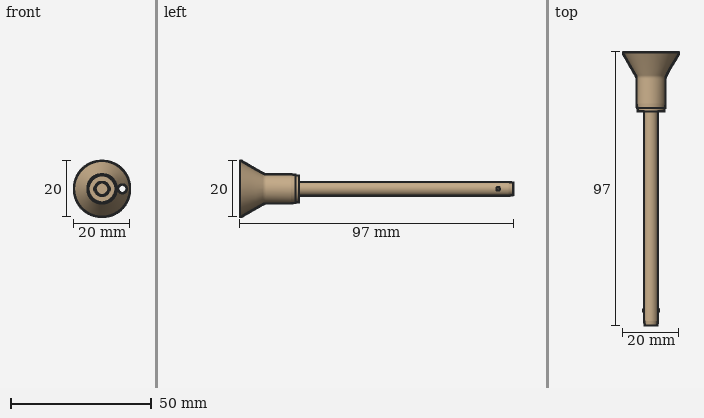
import cadquery as cq
import math


handle_length = 21.0
flange_radius = 10.0
rim_round_radius = 0.4
flare_angle = 30.0
flare_blend_radius = 2.2
grip_radius = 5.2
grip_end = 2.75
taper_end = 1.2
taper_end_radius = 5.05
collar_radius = 4.8

lanyard_hole_radius = 1.5
lanyard_hole_offset = 7.2

shank_length = 76.0
shank_radius = 2.5
tip_length = 1.6
tip_radius = 2.25

ball_radius = 0.75
ball_projection = 0.3
ball_to_tip = 5.4


def make_handle():
    """Revolved push button handle: flange, flare, grip, tapered end and collar."""
    angle = math.radians(flare_angle)
    half_angle = angle / 2

    rim_center_radius = flange_radius - rim_round_radius
    rim_center = handle_length - rim_round_radius
    flare_start_radius = rim_center_radius + rim_round_radius * math.cos(angle)
    flare_start = rim_center - rim_round_radius * math.sin(angle)

    flare_corner = flare_start - (flare_start_radius - grip_radius) / math.tan(angle)
    tangent_length = flare_blend_radius * math.tan(half_angle)

    blend_start_radius = grip_radius + tangent_length * math.sin(angle)
    blend_start = flare_corner + tangent_length * math.cos(angle)
    blend_end = flare_corner - tangent_length
    blend_middle_radius = grip_radius + flare_blend_radius * (1 - math.cos(half_angle))
    blend_middle = blend_end + flare_blend_radius * math.sin(half_angle)

    return (
        cq.Workplane("XY")
        .moveTo(0, handle_length)
        .lineTo(rim_center_radius, handle_length)
        .threePointArc((flange_radius, rim_center), (flare_start_radius, flare_start))
        .lineTo(blend_start_radius, blend_start)
        .threePointArc((blend_middle_radius, blend_middle), (grip_radius, blend_end))
        .lineTo(grip_radius, grip_end)
        .lineTo(taper_end_radius, taper_end)
        .lineTo(collar_radius, taper_end)
        .lineTo(collar_radius, 0)
        .lineTo(0, 0)
        .close()
        .revolve(360, (0, 0, 0), (0, 1, 0))
    )


def make_shank():
    """Revolved shank with a tapered tip, rooted at the handle shoulder."""
    return (
        cq.Workplane("XY")
        .moveTo(0, 0)
        .lineTo(shank_radius, 0)
        .lineTo(shank_radius, tip_length - shank_length)
        .lineTo(tip_radius, -shank_length)
        .lineTo(0, -shank_length)
        .close()
        .revolve(360, (0, 0, 0), (0, 1, 0))
    )


def make_ball(side):
    """Locking ball standing slightly proud of the shank on the given X side."""
    ball_x = side * (shank_radius + ball_projection - ball_radius)
    return cq.Workplane("XY").sphere(ball_radius).translate((ball_x, ball_to_tip - shank_length, 0))


def make_lanyard_hole():
    """Cutter for the through hole, parallel to the pin axis."""
    return (
        cq.Workplane("XZ")
        .center(lanyard_hole_offset, 0)
        .circle(lanyard_hole_radius)
        .extrude(-handle_length)
    )


result = make_handle().cut(make_lanyard_hole()).union(make_shank())
for side in (-1, 1):
    result = result.union(make_ball(side))